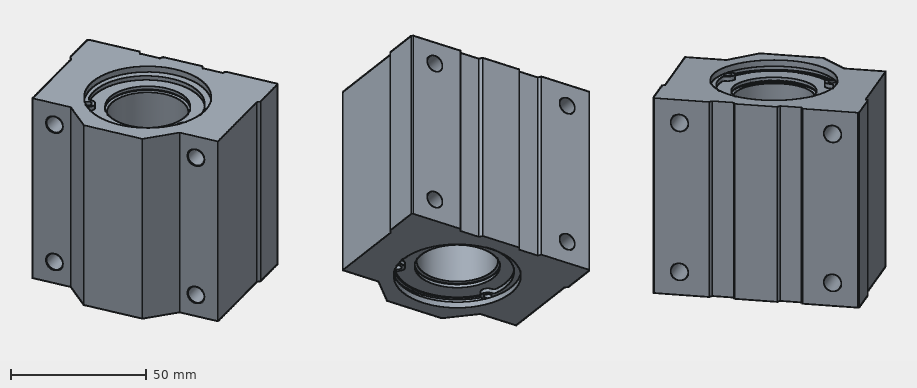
import cadquery as cq
import math

width = 78.0
length = 76.0
depth = 59.5
bore_to_base = 30.0
base_y = bore_to_base
nose_y = base_y - depth
shoulder_depth = 49.2
flange_depth = 15.0
side_step = 1.0
shoulder_y = base_y - shoulder_depth
nose_half_width = 12.0
shoulder_half_width = nose_half_width + (shoulder_y - nose_y)
corner_chamfer = 0.5

groove_spacing = 25.75
groove_width = 9.7
groove_floor_width = 8.1
groove_depth = 1.3

bolt_spacing = 57.95
bolt_hole_diameter = 6.6
bolt_mouth_diameter = 7.0

bore_diameter = 47.0
bearing_length = 67.7
bearing_chamfer = 0.5
shaft_diameter = 30.0
lip_diameter = 31.6
lip_depth = 1.3
recess_diameter = 33.2
recess_depth = 0.85

ring_thickness = 1.7
ring_outer_diameter = 49.5
ring_inner_diameter = 43.4
ring_offset = 1.25
lug_x = 19.7
lug_y = -10.0
lug_diameter = 5.45
lug_hole_diameter = 3.0
lug_fillet = 1.55
ring_seat_z = bearing_length / 2


def make_base_groove(center_x):
    """Shallow trapezoidal groove along the mounting face."""
    floor_y = base_y - groove_depth
    outline = [
        (center_x - groove_width / 2, base_y),
        (center_x - groove_floor_width / 2, floor_y),
        (center_x + groove_floor_width / 2, floor_y),
        (center_x + groove_width / 2, base_y),
    ]
    return cq.Workplane("XY").polyline(outline).close().extrude(length / 2, both=True)


def make_bolt_holes():
    """Four through holes along Y, with a slightly chamfered mouth on the shoulder."""
    mouth_chamfer = (bolt_mouth_diameter - bolt_hole_diameter) / 2
    profile = [
        (0, shoulder_y),
        (bolt_mouth_diameter / 2, shoulder_y),
        (bolt_hole_diameter / 2, shoulder_y + mouth_chamfer),
        (bolt_hole_diameter / 2, base_y),
        (0, base_y),
    ]
    hole = cq.Workplane("XY").polyline(profile).close().revolve(360, (0, 0), (0, 1))
    holes = cq.Workplane("XY")
    for x in (-bolt_spacing / 2, bolt_spacing / 2):
        for z in (-bolt_spacing / 2, bolt_spacing / 2):
            holes = holes.add(hole.translate((x, 0, z)))
    return holes.combine()


def make_housing():
    half_width = width / 2
    body_half_width = half_width - side_step
    step_y = base_y - flange_depth
    right_half = [
        (nose_half_width, nose_y),
        (shoulder_half_width, shoulder_y),
        (body_half_width, shoulder_y),
        (body_half_width, step_y - side_step),
        (half_width, step_y),
        (half_width, base_y - corner_chamfer),
        (half_width - corner_chamfer, base_y),
    ]
    left_half = [(-x, y) for x, y in reversed(right_half)]
    housing = cq.Workplane("XY").polyline(right_half + left_half).close().extrude(length / 2, both=True)
    for center_x in (-groove_spacing / 2, groove_spacing / 2):
        housing = housing.cut(make_base_groove(center_x))
    housing = housing.cut(make_bolt_holes())
    housing = housing.cut(cq.Workplane("XY").circle(bore_diameter / 2).extrude(length / 2, both=True))
    ring_groove = cq.Workplane("XY").circle(ring_outer_diameter / 2).extrude(ring_thickness)
    for z in (ring_seat_z, -ring_seat_z - ring_thickness):
        housing = housing.cut(ring_groove.translate((0, 0, z)))
    return housing


def make_bearing():
    """Sleeve with a lip and a wider seal recess at each end of its bore."""
    bearing = cq.Workplane("XY").circle(bore_diameter / 2).extrude(bearing_length / 2, both=True)
    bearing = bearing.faces("|Z").edges().chamfer(bearing_chamfer)
    half_length = bearing_length / 2
    lip_z = half_length - lip_depth
    recess_z = lip_z - recess_depth
    upper_half = [
        (shaft_diameter / 2, recess_z),
        (recess_diameter / 2, recess_z),
        (recess_diameter / 2, lip_z),
        (lip_diameter / 2, lip_z),
        (lip_diameter / 2, half_length),
    ]
    lower_half = [(r, -z) for r, z in reversed(upper_half)]
    profile = [(0, -half_length), *lower_half, *upper_half, (0, half_length)]
    cavity = cq.Workplane("XZ").polyline(profile).close().revolve(360, (0, 0), (0, 1))
    return bearing.cut(cavity)


def make_retaining_ring(bottom_z):
    """Internal circlip: eccentric C-shaped band with a drilled lug at each end."""
    outer_disc = cq.Workplane("XY").circle(ring_outer_diameter / 2).extrude(ring_thickness)
    opening = cq.Workplane("XY").center(0, -ring_offset).circle(ring_inner_diameter / 2).extrude(ring_thickness)
    lug_centers = [(-lug_x, lug_y), (lug_x, lug_y)]

    reach = ring_outer_diameter / math.hypot(lug_x, lug_y)
    gap_outline = [
        (0, 0),
        (lug_x * reach, lug_y * reach),
        (lug_x * reach, -ring_outer_diameter),
        (-lug_x * reach, -ring_outer_diameter),
        (-lug_x * reach, lug_y * reach),
    ]
    gap = cq.Workplane("XY").polyline(gap_outline).close().extrude(ring_thickness)
    band = outer_disc.cut(opening).cut(gap)

    lugs = cq.Workplane("XY").pushPoints(lug_centers).circle(lug_diameter / 2).extrude(ring_thickness)
    ring = band.union(lugs.intersect(outer_disc))

    corner_reach = lug_diameter / 2 + lug_fillet
    for x, y in lug_centers:
        inner_corner = cq.selectors.BoxSelector(
            (x - corner_reach, y + lug_fillet / 2, -ring_thickness),
            (x + corner_reach, y + corner_reach, 2 * ring_thickness),
        )
        ring = ring.edges("|Z").edges(inner_corner).fillet(lug_fillet)

    holes = cq.Workplane("XY").pushPoints(lug_centers).circle(lug_hole_diameter / 2).extrude(ring_thickness)
    return ring.cut(holes).translate((0, 0, bottom_z))


housing = make_housing()
bearing = make_bearing()
retaining_rings = [make_retaining_ring(z) for z in (ring_seat_z, -ring_seat_z - ring_thickness)]

result = cq.Compound.makeCompound([
    housing.val(),
    bearing.val(),
    *[solid for ring in retaining_rings for solid in ring.solids().vals()],
])